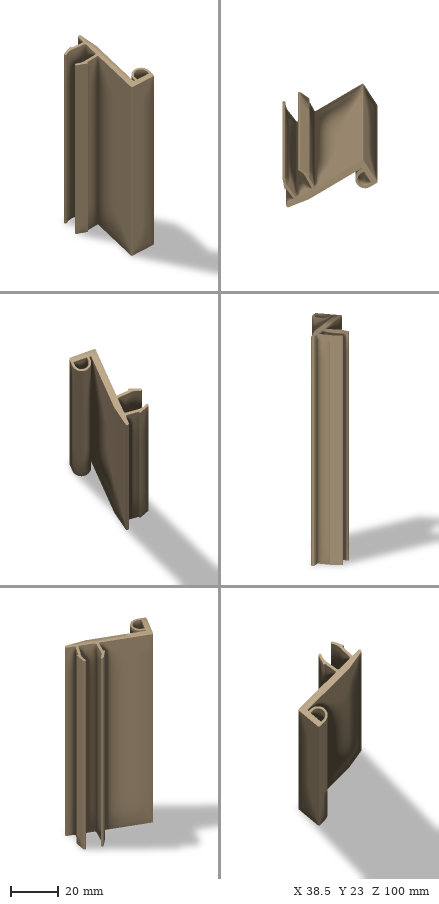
import cadquery as cq

length = 100.0
width = 38.5
plate_thickness = 3.0
tip_thickness = 1.4
taper_length = 9.7
edge_radius = 0.5
tip_radius = 0.6

wall_height = 12.0
wall_thickness = 2.5
wall_inner_x = width - wall_thickness

seal_radius = 4.1
seal_skin = 1.0
seal_centre_x = 34.6
seal_centre_y = wall_height - seal_radius
seal_bottom = seal_centre_y - seal_radius
hollow_radius = seal_radius - seal_skin
hollow_bottom = seal_centre_y - hollow_radius

slot_end_x = 35.9
slot_radius = (seal_bottom - plate_thickness) / 2
slot_start_x = slot_end_x - slot_radius

leg_mid_x = 9.5
leg_bottom = -11.0
root_outer = 5.1
root_inner = 3.9
outer_root_radius = 0.3
inner_root_radius = 0.8
root_overlap = 0.5
barb_y = -6.0
barb_neck = 5.5
barb_tip = 6.2
barb_blunt = 0.2
bend_y = -5.0
bend_inner = 4.2
curve_y = -8.0
curve_inner = 4.2
foot_radius = 0.6
foot_centre = 3.9
foot_y = leg_bottom + foot_radius
foot_tilt = 0.2
foot_side = (foot_radius**2 - foot_tilt**2) ** 0.5


def make_plate():
    """L-shaped plate and wall, with the round end of the slot under the seal."""
    plate = (
        cq.Workplane("XY")
        .moveTo(0, 0)
        .lineTo(width, 0)
        .lineTo(width, wall_height)
        .lineTo(wall_inner_x, wall_height)
        .lineTo(wall_inner_x, hollow_bottom)
        .lineTo(slot_start_x, hollow_bottom)
        .lineTo(slot_start_x, seal_bottom)
        .threePointArc(
            (slot_start_x + slot_radius, plate_thickness + slot_radius),
            (slot_start_x, plate_thickness),
        )
        .lineTo(taper_length, plate_thickness)
        .lineTo(0, tip_thickness)
        .close()
        .extrude(length)
    )
    plate = plate.edges("|Z and <X").fillet(tip_radius)
    return plate.edges("|Z and >X").fillet(edge_radius)


def d_prism(radius, flat_x):
    """D-shaped bar: half circle towards -X, closed by a flat at flat_x."""
    return (
        cq.Workplane("XY")
        .moveTo(flat_x, seal_centre_y + radius)
        .lineTo(seal_centre_x, seal_centre_y + radius)
        .threePointArc(
            (seal_centre_x - radius, seal_centre_y),
            (seal_centre_x, seal_centre_y - radius),
        )
        .lineTo(flat_x, seal_centre_y - radius)
        .close()
        .extrude(length)
    )


def make_seal():
    outside = d_prism(seal_radius, wall_inner_x)
    return outside.cut(d_prism(hollow_radius, wall_inner_x))


def make_leg(side):
    """Barbed leg on the given side (-1 or +1) of the mid-plane."""

    def at(offset, y):
        return (leg_mid_x + side * offset, y)

    return (
        cq.Workplane("XY")
        .moveTo(*at(root_inner - inner_root_radius, 0))
        .lineTo(*at(root_inner - inner_root_radius, root_overlap))
        .lineTo(*at(root_outer + outer_root_radius, root_overlap))
        .lineTo(*at(root_outer + outer_root_radius, 0))
        .radiusArc(at(root_outer, -outer_root_radius), -side * outer_root_radius)
        .lineTo(*at(barb_neck, barb_y))
        .lineTo(*at(barb_tip, barb_y))
        .lineTo(*at(barb_tip, barb_y - barb_blunt))
        .lineTo(*at(foot_centre + foot_side, foot_y - foot_tilt))
        .threePointArc(
            at(foot_centre - foot_tilt, foot_y - foot_side),
            at(foot_centre - foot_side, foot_y + foot_tilt),
        )
        .threePointArc(at(curve_inner, curve_y), at(bend_inner, bend_y))
        .lineTo(*at(root_inner, -inner_root_radius))
        .radiusArc(at(root_inner - inner_root_radius, 0), -side * inner_root_radius)
        .close()
        .extrude(length)
    )


result = make_plate().union(make_seal())
for side in (-1, 1):
    result = result.union(make_leg(side))